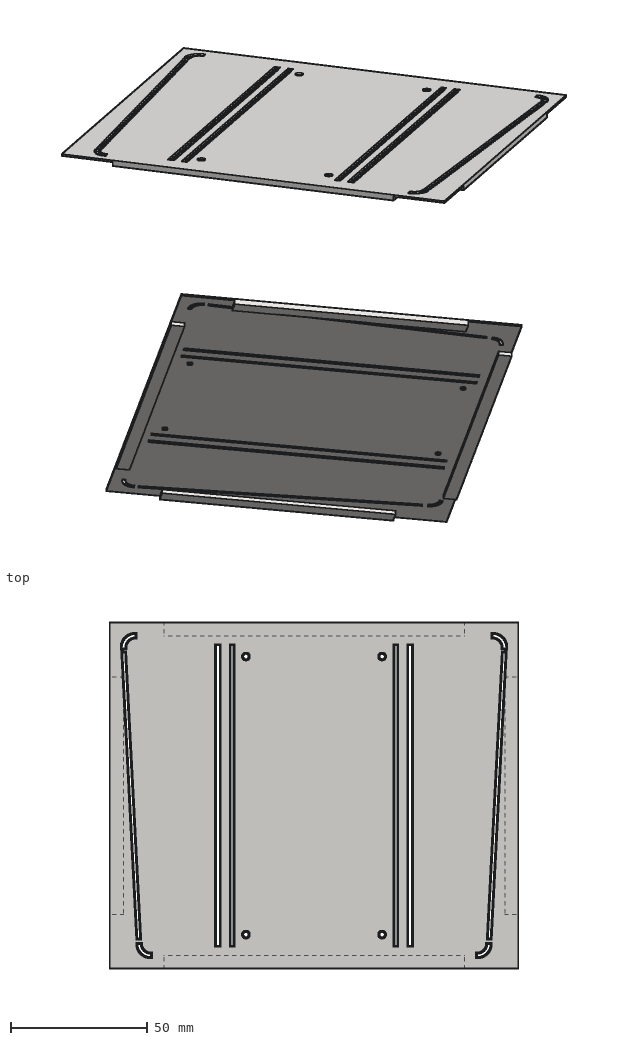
import cadquery as cq
import math

PLATE_LENGTH = 150.0
PLATE_WIDTH = 127.0
TOTAL_HEIGHT = 2.2
PLATE_THICKNESS = 0.8
STRIP_HEIGHT = TOTAL_HEIGHT - PLATE_THICKNESS
STRIP_WIDTH = 5.0
STRIP_END_GAP = 20.0

OPENING_CHAMFER = 0.5

SLOT_LENGTH = 110.1
OUTER_SLOT_X = 35.2
OUTER_SLOT_WIDTH = 1.2
INNER_SLOT_X = 30.0
INNER_SLOT_WIDTH = 0.9

HOLE_DIAMETER = 2.0
HOLE_SPACING_X = 50.0
HOLE_SPACING_Y = 102.0

SLANT_ANGLE = 3.0
SLANT_MIDDLE_X = 67.0
SLANT_SLOT_LENGTH = 105.0
SLANT_SLOT_WIDTH = 0.9
ARC_SLOT_WIDTH = 1.2
ARC_RADIUS = 4.4
ARC_CENTER_Y = 54.3


def make_plate():
    return cq.Workplane("XY").box(
        PLATE_LENGTH, PLATE_WIDTH, PLATE_THICKNESS, centered=(True, True, False)
    )


def make_edge_strips():
    """Four strips below the plate, flush with its edges and open at the corners."""
    along_x = (
        cq.Workplane("XY")
        .pushPoints([(0, side * (PLATE_WIDTH - STRIP_WIDTH) / 2) for side in (-1, 1)])
        .rect(PLATE_LENGTH - 2 * STRIP_END_GAP, STRIP_WIDTH)
        .extrude(-STRIP_HEIGHT)
    )
    along_y = (
        cq.Workplane("XY")
        .pushPoints([(side * (PLATE_LENGTH - STRIP_WIDTH) / 2, 0) for side in (-1, 1)])
        .rect(STRIP_WIDTH, PLATE_WIDTH - 2 * STRIP_END_GAP)
        .extrude(-STRIP_HEIGHT)
    )
    return along_x.union(along_y)


def make_straight_slots(distance_x, width):
    """A mirrored pair of square-ended slots running along Y."""
    return (
        cq.Workplane("XY")
        .pushPoints([(-distance_x, 0), (distance_x, 0)])
        .rect(width, SLOT_LENGTH)
        .extrude(PLATE_THICKNESS)
    )


def make_slanted_slot():
    """The straight middle slot of the row on the -X side."""
    return (
        cq.Workplane("XY")
        .transformed(offset=(-SLANT_MIDDLE_X, 0, 0), rotate=(0, 0, SLANT_ANGLE))
        .rect(SLANT_SLOT_WIDTH, SLANT_SLOT_LENGTH)
        .extrude(PLATE_THICKNESS)
    )


def make_arc_slot(end):
    """The upper (end = 1) or lower (end = -1) arc of the row on the -X side.

    It starts tangent to the slanted center line and turns until it runs along X.
    """
    slant = math.radians(SLANT_ANGLE)
    center_y = end * ARC_CENTER_Y
    center_x = -SLANT_MIDDLE_X - center_y * math.tan(slant) + ARC_RADIUS / math.cos(slant)
    start_angle = math.pi + slant
    end_angle = math.pi - end * math.pi / 2
    middle_angle = (start_angle + end_angle) / 2
    inner_radius = ARC_RADIUS - ARC_SLOT_WIDTH / 2
    outer_radius = ARC_RADIUS + ARC_SLOT_WIDTH / 2

    def point(radius, angle):
        return (center_x + radius * math.cos(angle), center_y + radius * math.sin(angle))

    return (
        cq.Workplane("XY")
        .moveTo(*point(outer_radius, start_angle))
        .threePointArc(point(outer_radius, middle_angle), point(outer_radius, end_angle))
        .lineTo(*point(inner_radius, end_angle))
        .threePointArc(point(inner_radius, middle_angle), point(inner_radius, start_angle))
        .close()
        .extrude(PLATE_THICKNESS)
    )


def make_screw_holes():
    return (
        cq.Workplane("XY")
        .rect(HOLE_SPACING_X, HOLE_SPACING_Y, forConstruction=True)
        .vertices()
        .circle(HOLE_DIAMETER / 2)
        .extrude(PLATE_THICKNESS)
    )


def make_beveled_cutter(opening):
    """Cutter for a hole or slot, widened at 45 degrees towards the upper face."""
    blank = make_plate()
    pierced = blank.cut(opening)
    rims = pierced.faces(">Z").val().innerWires()
    rim_edges = [edge for rim in rims for edge in rim.Edges()]
    return blank.cut(pierced.newObject(rim_edges).chamfer(OPENING_CHAMFER))


openings = [
    make_screw_holes(),
    make_straight_slots(OUTER_SLOT_X, OUTER_SLOT_WIDTH),
    make_straight_slots(INNER_SLOT_X, INNER_SLOT_WIDTH),
]
for slot in (make_slanted_slot(), make_arc_slot(1), make_arc_slot(-1)):
    openings.append(slot)
    openings.append(slot.mirror("YZ"))

plate = make_plate()
for opening in openings:
    plate = plate.cut(make_beveled_cutter(opening))
result = plate.union(make_edge_strips())